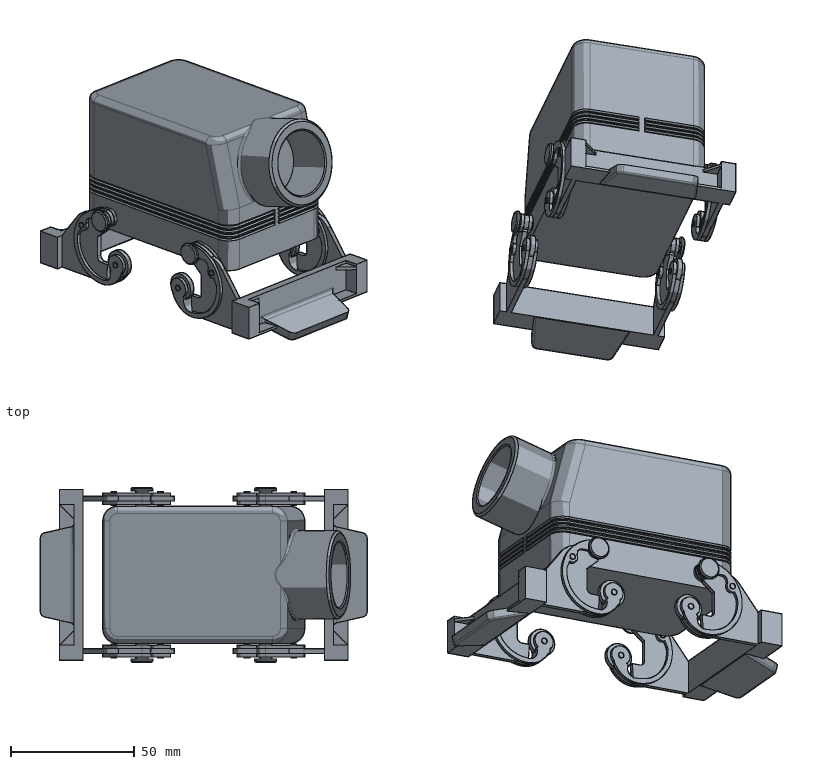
import cadquery as cq
import math

HOOD_LENGTH = 82.2
HOOD_WIDTH = 55.9
HOOD_HEIGHT = 55.8
SLOPE_ANGLE = 15.0
SLOPE_START = 27.0
CORNER_RADIUS = 6.1
TOP_RADIUS = 2.9

GROOVE_COUNT = 4
GROOVE_TOP = 20.1
GROOVE_PITCH = 1.9
GROOVE_HEIGHT = 1.3
GROOVE_DEPTH = 0.5
GROOVE_GAP = 2.4

NECK_DIAMETER = 35.9
NECK_BORE = 26.6
BORE_CHAMFER = 0.5
BORE_CHAMFER_ANGLE = 45.0
NECK_FACE_X = 55.4
NECK_FACE_Z = 44.2
NECK_LENGTH = 43.9
NECK_CHAMFER = 0.9
NECK_ROOT_RADIUS = 0.9
BORE_DEPTH = 18.6

HOOK_X = -25.2
HOOK_Z = -6.3
HOOK_OUTER_RADIUS = 16.0
HOOK_CORE_STEP = 0.3
HOOK_ARC_END = 8.0
HOOK_INNER_RADIUS = 14.0
HOOK_THICKNESS = 4.8
LEVER_Y = 31.0
BRACKET_THICKNESS = 2.0
LATCH_WALL_X = -29.1
LATCH_WALL_TOP = -2.8
LATCH_LEDGE_Z = -13.6
LATCH_CORNER_RADIUS = 2.1
LATCH_LIP_X = -23.5
LATCH_LOWER_X = -24.1
LATCH_SLANT_END = (-24.2, 1.3)
SHOULDER_CURVE = ((-34.9, 6.3), (-38.6, 4.8), (-40.9, 2.5))
TIP_X = -17.5
TIP_Z = -11.6
TIP_RADIUS = 4.1
ROLLER_RADIUS = 5.6
TAIL_OUTER_MIDDLE = (-18.6, -20.1)
TAIL_OUTER_END = (-14.5, -14.8)
TAIL_INNER_MIDDLE = (-20.9, -18.0)
TAIL_INNER_END = (-20.9, -15.2)
WEB_CURVE = ((-34.3, 2.1), (-33.8, 3.9), (-32.2, 4.8))
RIVET_X = -36.6
RIVET_Z = 0.5
RIVET_BOSS_RADIUS = 2.4
RIVET_RADIUS = 1.2
RIVET_LENGTH = 5.7
PIVOT_Z = 6.0
PIVOT_DISC_RADIUS = 3.7
PIVOT_PIN_RADIUS = 2.5
PIVOT_HEAD_RADIUS = 4.5
PIVOT_HEAD_THICKNESS = 1.3
PIVOT_HEAD_CHAMFER = 0.5
PIVOT_END_Y = 35.5
PIVOT_EMBED = 1.3

BAR_INNER_X = -49.1
BAR_DEPTH = 9.6
BAR_LENGTH = 69.6
BAR_TOP = -8.0
BAR_BOTTOM = -22.0
POCKET_LENGTH = 57.2
POCKET_DEPTH = 6.0
POCKET_FLOOR = 1.0
GUSSET_DROP = 1.2
GUSSET_THICKNESS = 1.2

HANDLE_EDGE_X = -66.5
HANDLE_EDGE_Z = -22.8
HANDLE_LENGTH = 16.8
HANDLE_THICKNESS = 3.9
HANDLE_END_WIDTH = 33.5
HANDLE_ROOT_WIDTH = 40.7
HANDLE_CORNER_RADIUS = 2.5
HANDLE_EDGE_RADIUS = 0.8
HANDLE_TILT = 15.0
HANDLE_ROOT_RADIUS = 1.7

ZONE_MARGIN = 0.1


def slab(outline, thickness):
    """Extrude an XZ outline symmetrically about the lever plane."""
    return outline.extrude(thickness / 2, both=True).translate((0, LEVER_Y, 0))


def disc(x, z, radius, thickness):
    return slab(cq.Workplane("XZ").center(x, z).circle(radius), thickness)


def make_hood():
    half = HOOD_LENGTH / 2
    slope_run = (HOOD_HEIGHT - SLOPE_START) * math.tan(math.radians(SLOPE_ANGLE))
    body = (
        cq.Workplane("XZ")
        .moveTo(-half, 0)
        .lineTo(half, 0)
        .lineTo(half, SLOPE_START)
        .lineTo(half - slope_run, HOOD_HEIGHT)
        .lineTo(-half, HOOD_HEIGHT)
        .close()
        .extrude(HOOD_WIDTH / 2, both=True)
    )
    body = body.edges("not(|X or |Y)").fillet(CORNER_RADIUS)
    return body.faces(">Z").edges().fillet(TOP_RADIUS)


def hood_section():
    section = cq.Sketch().rect(HOOD_LENGTH, HOOD_WIDTH)
    return cq.Workplane("XY").placeSketch(section.vertices().fillet(CORNER_RADIUS))


def make_groove_cutter():
    """V-groove rings, split by a plain strip in the middle of each end."""
    half_height = GROOVE_HEIGHT / 2
    wall_angle = math.degrees(math.atan(GROOVE_DEPTH / half_height))
    waist = hood_section().extrude(half_height, taper=wall_angle)
    waist = waist.union(waist.mirror("XY", (0, 0, half_height)))
    end_strip = cq.Workplane("XY").box(2 * HOOD_LENGTH, GROOVE_GAP, 2 * GROOVE_HEIGHT)
    return hood_section().extrude(GROOVE_HEIGHT).cut(waist).cut(end_strip)


def groove_hood(hood):
    ring = make_groove_cutter()
    for i in range(GROOVE_COUNT):
        hood = hood.cut(ring.translate((0, 0, GROOVE_TOP - GROOVE_HEIGHT - i * GROOVE_PITCH)))
    return hood


def place_on_neck_axis(shape):
    """Tilt a shape built along X and move its end to the centre of the neck's end face."""
    tilted = shape.rotate((0, 0, 0), (0, 1, 0), -SLOPE_ANGLE)
    return tilted.translate((NECK_FACE_X, 0, NECK_FACE_Z))


def add_neck(hood):
    neck = cq.Workplane("YZ").circle(NECK_DIAMETER / 2).extrude(-NECK_LENGTH)
    neck = neck.faces(">X").edges().chamfer(NECK_CHAMFER)
    bore = cq.Workplane("YZ").circle(NECK_BORE / 2).extrude(-BORE_DEPTH)
    rim = cq.Workplane("YZ").circle(NECK_BORE / 2 + BORE_CHAMFER)
    countersink = rim.extrude(-BORE_CHAMFER, taper=BORE_CHAMFER_ANGLE)
    hood = hood.union(place_on_neck_axis(neck))
    root_zone = cq.selectors.BoxSelector(
        (HOOD_LENGTH / 4, -NECK_DIAMETER / 2, SLOPE_START - ZONE_MARGIN),
        (HOOD_LENGTH / 2 + ZONE_MARGIN, NECK_DIAMETER / 2, HOOD_HEIGHT - ZONE_MARGIN),
    )
    root = hood.edges(root_zone).filter(lambda edge: edge.geomType() != "LINE")
    hood = root.fillet(NECK_ROOT_RADIUS)
    return hood.cut(place_on_neck_axis(bore.union(countersink)))


def hook_body(outer_radius, pivot_radius, thickness):
    """C-shaped band from the pivot, round the outer arc, to the tip."""
    diagonal = HOOK_INNER_RADIUS * math.sqrt(0.5)
    end_angle = math.radians(HOOK_ARC_END)
    inner_arc_end = (
        HOOK_X - HOOK_INNER_RADIUS * math.cos(end_angle),
        HOOK_Z + HOOK_INNER_RADIUS * math.sin(end_angle),
    )
    outline = (
        cq.Workplane("XZ")
        .moveTo(HOOK_X, HOOK_Z + outer_radius)
        .threePointArc((HOOK_X - outer_radius, HOOK_Z), (HOOK_X, HOOK_Z - outer_radius))
        .threePointArc(TAIL_OUTER_MIDDLE, TAIL_OUTER_END)
        .lineTo(TIP_X, TIP_Z)
        .lineTo(*TAIL_INNER_END)
        .threePointArc(TAIL_INNER_MIDDLE, (HOOK_X, HOOK_Z - HOOK_INNER_RADIUS))
        .threePointArc((HOOK_X - diagonal, HOOK_Z - diagonal), inner_arc_end)
        .lineTo(RIVET_X, RIVET_Z)
        .lineTo(*WEB_CURVE[0])
        .threePointArc(*WEB_CURVE[1:])
        .lineTo(HOOK_X, WEB_CURVE[2][1])
        .close()
    )
    band = slab(outline, thickness)
    return band.union(disc(HOOK_X, PIVOT_Z, pivot_radius, thickness))


def make_hook():
    """Two side layers on a slightly smaller core, with a roller at the tip and two rivets."""
    core_radius = HOOK_OUTER_RADIUS - HOOK_CORE_STEP
    core = hook_body(core_radius, PIVOT_DISC_RADIUS - HOOK_CORE_STEP, BRACKET_THICKNESS)
    sides = hook_body(HOOK_OUTER_RADIUS, PIVOT_DISC_RADIUS, HOOK_THICKNESS)
    sides = sides.union(disc(RIVET_X, RIVET_Z, RIVET_BOSS_RADIUS, HOOK_THICKNESS))
    sides = sides.union(disc(TIP_X, TIP_Z, TIP_RADIUS, HOOK_THICKNESS))
    core_space = cq.Workplane("XY").box(2 * HOOD_LENGTH, BRACKET_THICKNESS, 2 * HOOD_HEIGHT)
    sides = sides.cut(core_space.translate((0, LEVER_Y, 0)))
    hook = core.union(sides).union(disc(TIP_X, TIP_Z, ROLLER_RADIUS, BRACKET_THICKNESS))
    for x, z in [(RIVET_X, RIVET_Z), (TIP_X, TIP_Z)]:
        hook = hook.union(disc(x, z, RIVET_RADIUS, RIVET_LENGTH))
    return hook


def make_bracket():
    """Thin plate that joins the hook to the cross bar."""
    corner_mid = LATCH_CORNER_RADIUS * (1 - math.sqrt(0.5))
    outline = (
        cq.Workplane("XZ")
        .moveTo(BAR_INNER_X, BAR_BOTTOM)
        .lineTo(LATCH_LOWER_X, BAR_BOTTOM)
        .lineTo(LATCH_LIP_X, LATCH_LEDGE_Z)
        .lineTo(LATCH_WALL_X + LATCH_CORNER_RADIUS, LATCH_LEDGE_Z)
        .threePointArc(
            (LATCH_WALL_X + corner_mid, LATCH_LEDGE_Z + corner_mid),
            (LATCH_WALL_X, LATCH_LEDGE_Z + LATCH_CORNER_RADIUS),
        )
        .lineTo(LATCH_WALL_X, LATCH_WALL_TOP)
        .lineTo(*LATCH_SLANT_END)
        .lineTo(HOOK_X, PIVOT_Z)
        .lineTo(*SHOULDER_CURVE[0])
        .threePointArc(*SHOULDER_CURVE[1:])
        .lineTo(BAR_INNER_X, BAR_TOP)
        .close()
    )
    return slab(outline, BRACKET_THICKNESS)


def make_pivot():
    """Headed pin that carries the lever on the side of the hood."""
    pin_start_y = HOOD_WIDTH / 2 - PIVOT_EMBED
    pin = (
        cq.Workplane("XZ", (HOOK_X, pin_start_y, PIVOT_Z))
        .circle(PIVOT_PIN_RADIUS)
        .extrude(pin_start_y - PIVOT_END_Y)
    )
    head = (
        cq.Workplane("XZ", (HOOK_X, PIVOT_END_Y - PIVOT_HEAD_THICKNESS, PIVOT_Z))
        .circle(PIVOT_HEAD_RADIUS)
        .extrude(-PIVOT_HEAD_THICKNESS)
        .faces(">Y")
        .edges()
        .chamfer(PIVOT_HEAD_CHAMFER)
    )
    return pin.union(head)


def make_bar():
    bar_outer_x = BAR_INNER_X - BAR_DEPTH
    bar_height = BAR_TOP - BAR_BOTTOM
    seated = (False, True, False)
    bar = cq.Workplane("XY").box(BAR_DEPTH, BAR_LENGTH, bar_height, centered=seated)
    bar = bar.translate((bar_outer_x, 0, BAR_BOTTOM))
    pocket = cq.Workplane("XY").box(POCKET_DEPTH, POCKET_LENGTH, bar_height, centered=seated)
    bar = bar.cut(pocket.translate((bar_outer_x, 0, BAR_BOTTOM + POCKET_FLOOR)))
    pocket_wall_x = bar_outer_x + POCKET_DEPTH
    pocket_end_y = POCKET_LENGTH / 2
    gusset = (
        cq.Workplane("XY", (0, 0, BAR_TOP - GUSSET_DROP))
        .moveTo(bar_outer_x, pocket_end_y)
        .lineTo(pocket_wall_x, pocket_end_y)
        .lineTo(pocket_wall_x, pocket_end_y - POCKET_DEPTH)
        .close()
        .extrude(-GUSSET_THICKNESS)
    )
    return bar.union(gusset).union(gusset.mirror("XZ"))


def make_handle():
    """Tapered blade, drawn flat from its outer edge and then tilted."""
    end_half = HANDLE_END_WIDTH / 2
    root_half = HANDLE_ROOT_WIDTH / 2
    blade = (
        cq.Workplane("XY")
        .moveTo(0, -end_half)
        .lineTo(HANDLE_LENGTH, -root_half)
        .lineTo(HANDLE_LENGTH, root_half)
        .lineTo(0, end_half)
        .close()
        .extrude(-HANDLE_THICKNESS)
    )
    blade = blade.faces("<X").edges("|Z").fillet(HANDLE_CORNER_RADIUS)
    blade = blade.faces("<Z").edges("not >X").fillet(HANDLE_EDGE_RADIUS)
    blade = blade.rotate((0, 0, 0), (0, 1, 0), -HANDLE_TILT)
    return blade.translate((HANDLE_EDGE_X, 0, HANDLE_EDGE_Z))


def make_bar_with_handle():
    """Cross bar and handle, rounded where the blade meets the pocket's back wall."""
    wall_x = BAR_INNER_X - BAR_DEPTH + POCKET_DEPTH
    root_zone = cq.selectors.BoxSelector(
        (wall_x - ZONE_MARGIN, -HANDLE_ROOT_WIDTH / 2, BAR_BOTTOM + POCKET_FLOOR),
        (wall_x + ZONE_MARGIN, HANDLE_ROOT_WIDTH / 2, BAR_TOP - GUSSET_DROP - GUSSET_THICKNESS),
    )
    return make_bar().union(make_handle()).edges(root_zone).fillet(HANDLE_ROOT_RADIUS)


hood = add_neck(groove_hood(make_hood()))
lever = make_hook().union(make_bracket()).union(make_pivot())
end_assembly = make_bar_with_handle().union(lever).union(lever.mirror("XZ"))
result = hood.union(end_assembly).union(end_assembly.mirror("YZ"))